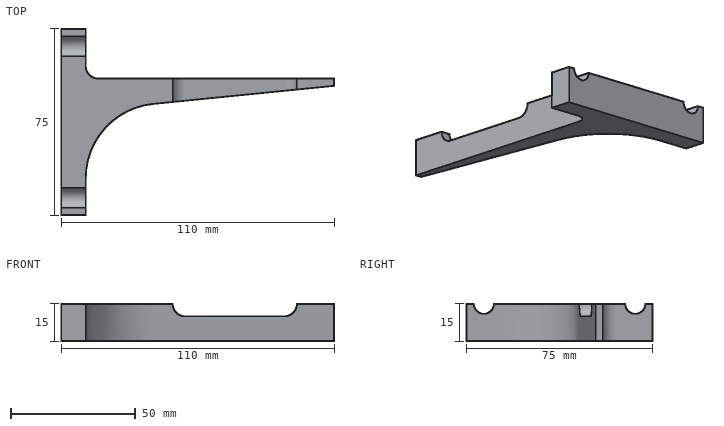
import cadquery as cq

length = 110.0
width = 75.0
height = 15.0

bar_thickness = 10.0
arm_side_inset = 20.0
arm_tip_width = 3.0
arm_root_width = 13.0
small_fillet = 5.0
large_fillet = 30.0

groove_radius = 4.0
groove_end_distance = 7.0

recess_start = 45.0
recess_end = 95.0
recess_depth = 5.0

arm_side_y = width - arm_side_inset


def make_body():
    """T-shaped plate with filleted inside corners between bar and arm."""
    arm_root_y = arm_side_y - arm_root_width
    body = (
        cq.Workplane("XY")
        .moveTo(0, 0)
        .lineTo(bar_thickness, 0)
        .lineTo(bar_thickness, arm_root_y)
        .lineTo(length, arm_side_y - arm_tip_width)
        .lineTo(length, arm_side_y)
        .lineTo(bar_thickness, arm_side_y)
        .lineTo(bar_thickness, width)
        .lineTo(0, width)
        .close()
        .extrude(height)
    )
    mid_height = height / 2
    straight_corner = cq.NearestToPointSelector((bar_thickness, arm_side_y, mid_height))
    tapered_corner = cq.NearestToPointSelector((bar_thickness, arm_root_y, mid_height))
    body = body.edges("|Z").edges(straight_corner).fillet(small_fillet)
    return body.edges("|Z").edges(tapered_corner).fillet(large_fillet)


def make_groove(y):
    """Cylinder along X, centred on the top face, that cuts a half-round groove."""
    return cq.Workplane("YZ").center(y, height).circle(groove_radius).extrude(bar_thickness)


def make_recess():
    """Cutter for the shallow arm recess, with quarter-round lower corners."""
    recess_length = recess_end - recess_start
    cutter_height = 2 * recess_depth
    return (
        cq.Workplane("XZ")
        .center((recess_start + recess_end) / 2, height)
        .slot2D(recess_length, cutter_height)
        .extrude(-width)
    )


result = make_body().cut(make_recess())
for groove_y in (groove_end_distance, width - groove_end_distance):
    result = result.cut(make_groove(groove_y))